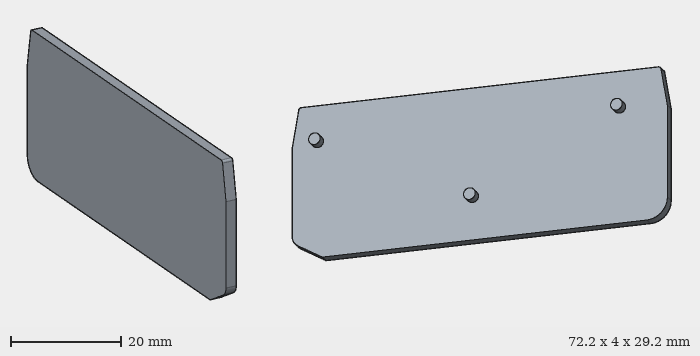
import cadquery as cq
import math

length = 72.2
height = 29.2
plate_thickness = 2.2
pin_length = 1.8

shoulder_drop = 7.6
taper_angle = 9.9
upper_corner_radius = 0.5

lower_corner_radius = 4.0
slope_length_x = 5.8
slope_angle = 30.0
slope_blend_radius = 2.0

pin_diameter = 2.25
upper_pin_drop = 6.9
lower_pin_drop = 20.9
left_pin_x = 9.2
middle_pin_x = 37.5
right_pin_x = 67.3

taper_inset = shoulder_drop * math.tan(math.radians(taper_angle))
slope_rise = slope_length_x * math.tan(math.radians(slope_angle))
shoulder_z = height - shoulder_drop

pin_centres = [
    (left_pin_x, height - upper_pin_drop),
    (middle_pin_x, height - lower_pin_drop),
    (right_pin_x, height - upper_pin_drop),
]


def round_corner(body, x, z, radius):
    """Fillet the edge running along Y through the outline corner (x, z)."""
    corner_edge = cq.selectors.NearestToPointSelector((x, plate_thickness / 2, z))
    return body.edges("|Y").edges(corner_edge).fillet(radius)


def make_plate():
    """Flat plate with its front face on Y = 0 and its lower -X corner at the origin."""
    outline = [
        (0, 0),
        (length - slope_length_x, 0),
        (length, slope_rise),
        (length, shoulder_z),
        (length - taper_inset, height),
        (taper_inset, height),
        (0, shoulder_z),
    ]
    plate = cq.Workplane("XZ").polyline(outline).close().extrude(-plate_thickness)
    plate = round_corner(plate, 0, 0, lower_corner_radius)
    plate = round_corner(plate, length, slope_rise, slope_blend_radius)
    for x in (taper_inset, length - taper_inset):
        plate = round_corner(plate, x, height, upper_corner_radius)
    return plate


def make_pins():
    """Round pins that run from the front face through the plate and out of its back."""
    pins = cq.Workplane("XZ").pushPoints(pin_centres).circle(pin_diameter / 2)
    return pins.extrude(-(plate_thickness + pin_length))


result = make_plate().union(make_pins())